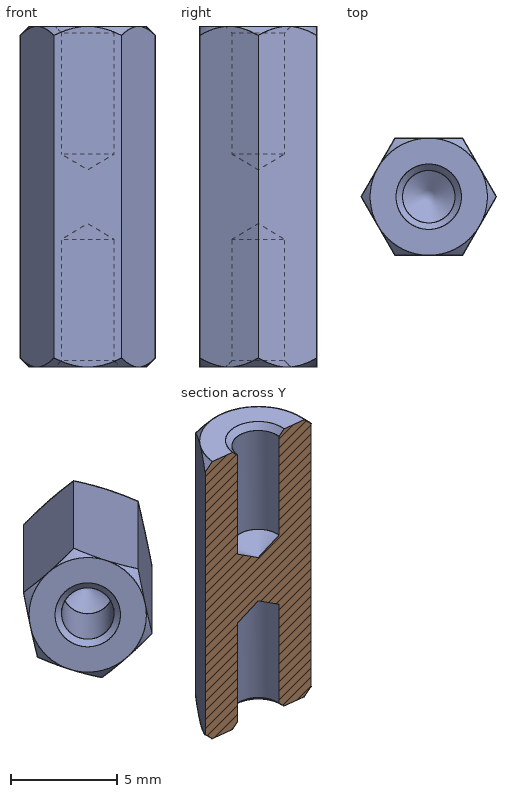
import cadquery as cq
import math

length = 16.0
across_flats = 5.5
across_corners = across_flats / math.cos(math.radians(30))

bore_diameter = 2.46
bore_depth = 6.0
drill_point_angle = 118.0
countersink_diameter = 3.07

bore_radius = bore_diameter / 2
countersink_radius = countersink_diameter / 2
countersink_depth = countersink_radius - bore_radius
drill_point_depth = bore_radius / math.tan(math.radians(drill_point_angle / 2))


def chamfered_hexagon():
    """Hexagonal bar with corners along X, turned to 45 degrees at both ends."""
    bar = cq.Workplane("XY").polygon(6, across_corners).extrude(length)
    corner_chamfer = (across_corners - across_flats) / 2
    turned_envelope = (
        cq.Workplane("XY")
        .circle(across_corners / 2)
        .extrude(length)
        .edges()
        .chamfer(corner_chamfer)
    )
    return bar.intersect(turned_envelope)


def top_bore():
    """Countersunk blind bore with a conical drill point, revolved about Z."""
    return (
        cq.Workplane("XZ")
        .moveTo(0, length)
        .lineTo(countersink_radius, length)
        .lineTo(bore_radius, length - countersink_depth)
        .lineTo(bore_radius, length - bore_depth)
        .lineTo(0, length - bore_depth - drill_point_depth)
        .close()
        .revolve(360, (0, 0), (0, 1))
    )


upper_bore = top_bore()
lower_bore = upper_bore.mirror("XY", (0, 0, length / 2))

result = chamfered_hexagon().cut(upper_bore).cut(lower_bore)